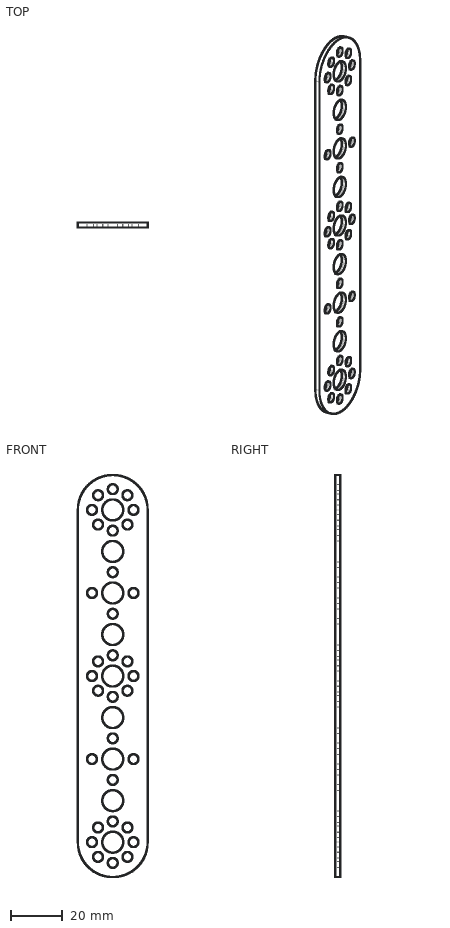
import cadquery as cq

length = 155.0
width = 27.0
thickness = 2.0

pitch = 16.0
large_hole_count = 9
large_hole_diameter = 8.0
small_hole_diameter = 3.7
ring_radius = pitch / 2

large_hole_heights = [(i - (large_hole_count - 1) / 2) * pitch for i in range(large_hole_count)]
side_pair_heights = large_hole_heights[::2]
ring_heights = large_hole_heights[::4]


def make_plate():
    """Flat bar with fully rounded ends, centred on the origin."""
    outline = cq.Workplane("XZ").slot2D(length, width, 90)
    return outline.extrude(thickness / 2, both=True)


def drill(body, points, diameter):
    """Cut round through holes along Y at the given (x, z) points."""
    holes = cq.Workplane("XZ").pushPoints(points).circle(diameter / 2)
    return body.cut(holes.extrude(thickness, both=True))


def cut_large_holes(body):
    """Row of large holes along the centreline."""
    points = [(0, height) for height in large_hole_heights]
    return drill(body, points, large_hole_diameter)


def cut_centre_small_holes(body):
    """Small holes on the centreline, between the large ones and beyond both ends."""
    points = [(0, large_hole_heights[0] - ring_radius)]
    points += [(0, height + ring_radius) for height in large_hole_heights]
    return drill(body, points, small_hole_diameter)


def cut_side_pairs(body):
    """Small holes left and right of every second large hole."""
    points = [(x, height) for height in side_pair_heights for x in (-ring_radius, ring_radius)]
    return drill(body, points, small_hole_diameter)


def cut_ring_diagonals(body):
    """Four diagonal holes that complete each ring of eight small holes."""
    for height in ring_heights:
        ring = cq.Workplane("XZ").center(0, height).polarArray(ring_radius, 45, 360, 4)
        ring = ring.circle(small_hole_diameter / 2).extrude(thickness, both=True)
        body = body.cut(ring)
    return body


result = make_plate()
result = cut_large_holes(result)
result = cut_centre_small_holes(result)
result = cut_side_pairs(result)
result = cut_ring_diagonals(result)